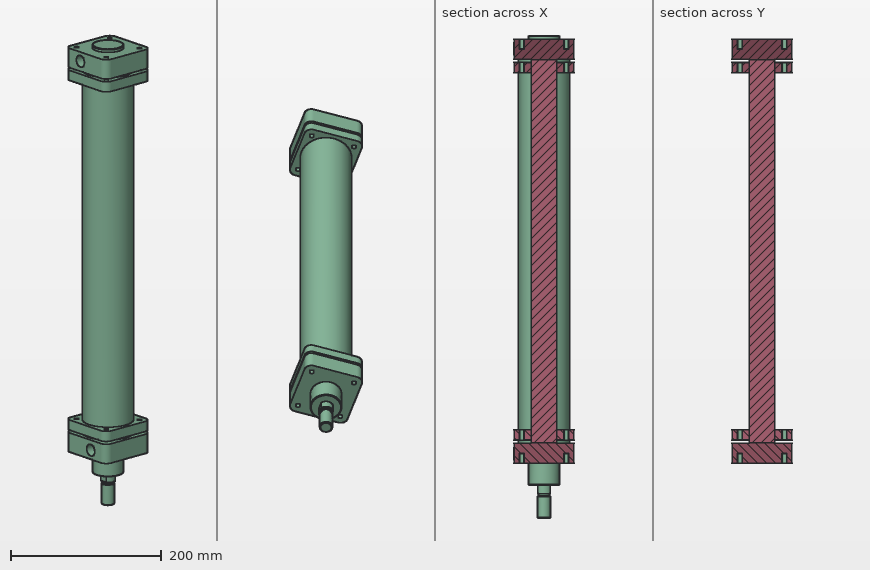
import cadquery as cq


overall_length = 641.0
boss_bottom = 44.0
rod_boss_height = 29.0
cap_boss_height = 4.5
head_height = 27.0
gap = 4.0
flange_height = 14.0

side = 80.0
corner_radius = 9.5
boss_diameter = 41.5
boss_chamfer = 0.95
barrel_diameter = 68.5

bolt_spacing = 59.0
bolt_hole_diameter = 6.0
bolt_hole_depth = 13.0

port_diameter = 16.0
port_depth = 13.0
port_offset = 10.0
port_from_outer_face = 13.0

rod_diameter = 20.0
flats_width = 16.5
shoulder_height = 33.0
relief_diameter = 15.0
thread_diameter = 17.0
thread_length = 30.0
thread_chamfer = 1.0

rod_head_outer = boss_bottom + rod_boss_height
rod_head_inner = rod_head_outer + head_height
cap_head_outer = overall_length - cap_boss_height
cap_head_inner = cap_head_outer - head_height
rod_flange_bottom = rod_head_inner + gap
cap_flange_bottom = cap_head_inner - gap - flange_height


def cylinder(diameter, bottom, height):
    return cq.Workplane("XY", origin=(0, 0, bottom)).circle(diameter / 2).extrude(height)


def square_plate(bottom, height):
    plate = cq.Workplane("XY", origin=(0, 0, bottom)).rect(side, side).extrude(height)
    return plate.edges("|Z").fillet(corner_radius)


def bolt_holes(bottom, height):
    plane = cq.Workplane("XY", origin=(0, 0, bottom))
    corners = plane.rect(bolt_spacing, bolt_spacing, forConstruction=True)
    return corners.vertices().circle(bolt_hole_diameter / 2).extrude(height)


def air_port(x, z):
    return cq.Workplane("XZ", origin=(x, -side / 2, z)).circle(port_diameter / 2).extrude(-port_depth)


def make_rod_head():
    boss = cylinder(boss_diameter, boss_bottom, rod_boss_height).faces("<Z").chamfer(boss_chamfer)
    head = square_plate(rod_head_outer, head_height).union(boss)
    head = head.cut(bolt_holes(rod_head_outer, bolt_hole_depth))
    return head.cut(air_port(port_offset, rod_head_outer + port_from_outer_face))


def make_cap_head():
    boss = cylinder(boss_diameter, cap_head_outer, cap_boss_height).faces(">Z").chamfer(boss_chamfer)
    head = square_plate(cap_head_inner, head_height).union(boss)
    head = head.cut(bolt_holes(cap_head_outer - bolt_hole_depth, bolt_hole_depth))
    return head.cut(air_port(-port_offset, cap_head_outer - port_from_outer_face))


def make_flange(bottom):
    flange = square_plate(bottom, flange_height)
    flange = flange.cut(cylinder(barrel_diameter, bottom, flange_height))
    return flange.cut(bolt_holes(bottom, flange_height))


def make_barrel():
    return cylinder(barrel_diameter, rod_head_inner, cap_head_inner - rod_head_inner)


def make_rod():
    shank_length = boss_bottom - shoulder_height
    shank = cylinder(rod_diameter, shoulder_height, shank_length)
    flats = cq.Workplane("XY", origin=(0, 0, shoulder_height)).rect(rod_diameter, flats_width)
    shank = shank.intersect(flats.extrude(shank_length))
    relief = cylinder(relief_diameter, thread_length, shoulder_height - thread_length)
    thread = cylinder(thread_diameter, 0, thread_length).faces("<Z or >Z").chamfer(thread_chamfer)
    return shank.union(relief).union(thread)


barrel = make_barrel()
rod_head = make_rod_head()
cap_head = make_cap_head()
flanges = [make_flange(bottom) for bottom in (rod_flange_bottom, cap_flange_bottom)]
rod = make_rod()

result = cq.Compound.makeCompound(
    [barrel.val(), rod_head.val(), cap_head.val(), *[flange.val() for flange in flanges], rod.val()]
)